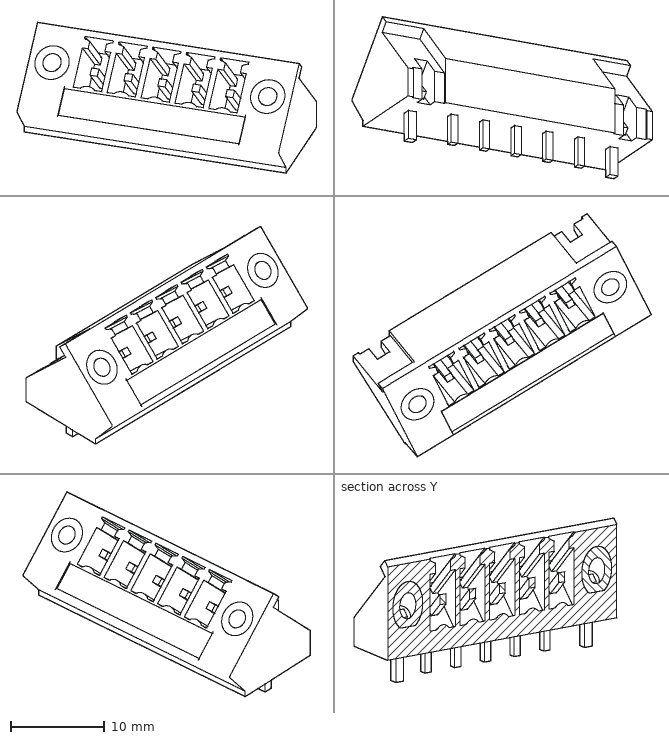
import cadquery as cq
import math

ROOT2 = math.sqrt(2)

length = 29.45
height = 11.0
ridge_depth = 5.98
foot_depth = 10.57
foot_height = 0.7
nose_depth = 13.15
edge_radius = 0.2

center_length = 20.37
ridge_band = 1.25
wing_drop = 1.3
rear_relief = 0.26
end_wall = 0.68

recess_top = -2.97

slot_width = 1.53
slot_end = 5.12
slot_floor_depth = 1.35

contact_count = 5
contact_row = 15.25
contact_size = 0.82
contact_leg_depth = 3.3
contact_tip_setback = 1.18
cavity_depth = 6.0
cavity_top = 2.83
cavity_bottom = -2.9
cavity_width = 3.18
neck_width = 1.88
shoulder_drop = 1.3
flare_side = 0.2
flare_drop = 0.47
rib_width = 1.65
rib_rise = 0.32

axis_offset = 0.85
insert_spacing = 24.25
insert_diameter = 3.77
insert_bore = 2.0
insert_length = 5.0
anchor_size = 1.0
anchor_leg_depth = 4.47
anchor_tail_depth = 1.7
leg_length = 3.18

face_reach = (ridge_depth + height) / ROOT2
axis_rise = -axis_offset / ROOT2
roof_rise = (height - ridge_depth) / ROOT2

recess_reach = face_reach - edge_radius
nose_height = ridge_depth + height - nose_depth
nose_angle = math.pi / 4 + math.atan2(nose_height - foot_height, nose_depth - foot_depth)
lip_rise = (nose_height - nose_depth) / ROOT2 + edge_radius / math.tan(nose_angle / 2)

wing_length = (length - center_length) / 2
pitch = contact_row / (contact_count - 1)
contact_places = [i * pitch - contact_row / 2 for i in range(contact_count)]
insert_places = [-insert_spacing / 2, insert_spacing / 2]


def mating_plane(reach):
    """Plane parallel to the mating face: local x along X, local y up the slope."""
    origin = (0, -reach / ROOT2, reach / ROOT2)
    return cq.Workplane(cq.Plane(origin=origin, xDir=(1, 0, 0), normal=(0, -1, 1)))


def side_point(reach, rise):
    """(Y, Z) of a point given in the mating frame."""
    return ((rise - reach) / ROOT2, (rise + reach) / ROOT2)


def side_prism(points, width):
    """Prism of the given (Y, Z) outline, centered on X = 0."""
    return cq.Workplane("YZ").polyline(points).close().extrude(width / 2, both=True)


def mating_block(x_mid, width, reach_range, rise_range):
    """Rectangular block aligned with the mating frame."""
    reach_low, reach_high = reach_range
    rise_low, rise_high = rise_range
    return (
        mating_plane(reach_low)
        .center(x_mid, (rise_low + rise_high) / 2)
        .rect(width, rise_high - rise_low)
        .extrude(reach_high - reach_low)
    )


def housing_blank():
    outline = [
        (0, 0),
        (-foot_depth, 0),
        (-foot_depth, foot_height),
        (-nose_depth, nose_height),
        (-ridge_depth, height),
        (0, height - ridge_depth),
    ]
    blank = side_prism(outline, length)
    nose = cq.selectors.NearestToPointSelector((0, -nose_depth, nose_height))
    return blank.edges(nose).fillet(edge_radius)


def front_recess():
    """Shallow recess in the mating face; both of its long edges are rounded over."""
    arc_inset = edge_radius * (1 - 1 / ROOT2)
    arc_reach = face_reach - arc_inset
    lip_inner = lip_rise + edge_radius
    top_inner = recess_top - edge_radius
    return (
        cq.Workplane("YZ")
        .moveTo(*side_point(face_reach, lip_rise))
        .threePointArc(
            side_point(arc_reach, lip_inner - arc_inset), side_point(recess_reach, lip_inner)
        )
        .lineTo(*side_point(recess_reach, top_inner))
        .threePointArc(
            side_point(arc_reach, top_inner + arc_inset), side_point(face_reach, recess_top)
        )
        .close()
        .extrude(center_length / 2, both=True)
    )


def wing_cuts(side):
    """Lowered roof, relieved rear wall and anchor slot of one wing (side is -1 or 1)."""
    wing_mid = side * (center_length + wing_length) / 2
    roof = mating_block(
        wing_mid, wing_length, (0, face_reach - ridge_band), (roof_rise - wing_drop, roof_rise)
    )
    relief_length = wing_length - end_wall
    relief = cq.Workplane("XY").box(
        relief_length, 2 * rear_relief, height, centered=(True, True, False)
    ).translate((side * (center_length + relief_length) / 2, 0, 0))
    slot = mating_block(
        side * insert_spacing / 2, slot_width, (0, slot_end), (-slot_floor_depth / ROOT2, roof_rise)
    )
    return roof.union(relief).union(slot)


def cavity(x):
    """Contact cavity: flared neck at the top, wide lower part, round rib on its floor."""
    half_wide = cavity_width / 2
    half_neck = neck_width / 2
    half_rib = rib_width / 2
    shoulder = cavity_top - shoulder_drop
    return (
        mating_plane(face_reach)
        .center(x, 0)
        .moveTo(-half_wide, cavity_top)
        .lineTo(half_wide, cavity_top)
        .lineTo(half_wide, cavity_top - flare_side)
        .lineTo(half_neck, cavity_top - flare_drop)
        .lineTo(half_neck, shoulder)
        .lineTo(half_wide, shoulder)
        .lineTo(half_wide, cavity_bottom)
        .lineTo(half_rib, cavity_bottom)
        .threePointArc((0, cavity_bottom + rib_rise), (-half_rib, cavity_bottom))
        .lineTo(-half_wide, cavity_bottom)
        .lineTo(-half_wide, shoulder)
        .lineTo(-half_neck, shoulder)
        .lineTo(-half_neck, cavity_top - flare_drop)
        .lineTo(-half_wide, cavity_top - flare_side)
        .close()
        .extrude(-cavity_depth)
    )


def make_contact(x):
    """Square pin along the mating axis, bent down into an upright leg."""
    half = contact_size / 2
    front = contact_leg_depth + half
    rear = contact_leg_depth - half
    tip = face_reach - contact_tip_setback
    outline = [
        (-front, -leg_length),
        (-rear, -leg_length),
        (-rear, rear - axis_offset + half * ROOT2),
        side_point(tip, axis_rise + half),
        side_point(tip, axis_rise - half),
        (-front, front - axis_offset - half * ROOT2),
    ]
    return side_prism(outline, contact_size).translate((x, 0, 0))


def make_insert(x):
    """Round sleeve flush with the mating face."""
    return (
        mating_plane(face_reach)
        .center(x, axis_rise)
        .circle(insert_diameter / 2)
        .circle(insert_bore / 2)
        .extrude(-insert_length)
    )


def make_anchor(x):
    """Square bar along the mating axis behind the insert, with an upright leg."""
    half = anchor_size / 2
    tail_reach = ROOT2 * anchor_tail_depth + axis_rise + half
    bar_end = face_reach - insert_length
    bar = mating_block(0, anchor_size, (tail_reach, bar_end), (axis_rise - half, axis_rise + half))
    leg_top = anchor_leg_depth - axis_offset
    leg = (
        cq.Workplane("XY", origin=(0, -anchor_leg_depth, -leg_length))
        .rect(anchor_size, anchor_size)
        .extrude(leg_length + leg_top)
    )
    return bar.union(leg).translate((x, 0, 0))


contacts = [make_contact(x) for x in contact_places]
inserts = [make_insert(x) for x in insert_places]
anchors = [make_anchor(x) for x in insert_places]


def make_housing():
    body = housing_blank().cut(front_recess())
    for side in (-1, 1):
        body = body.cut(wing_cuts(side))
    for x in contact_places:
        body = body.cut(cavity(x))
    for x in insert_places:
        bore = mating_plane(face_reach).center(x, axis_rise).circle(insert_diameter / 2)
        body = body.cut(bore.extrude(-insert_length))
    for fitted in contacts + anchors:
        body = body.cut(fitted)
    return body


housing = make_housing()
bodies = [housing] + contacts + inserts + anchors
result = cq.Compound.makeCompound([body.val() for body in bodies])